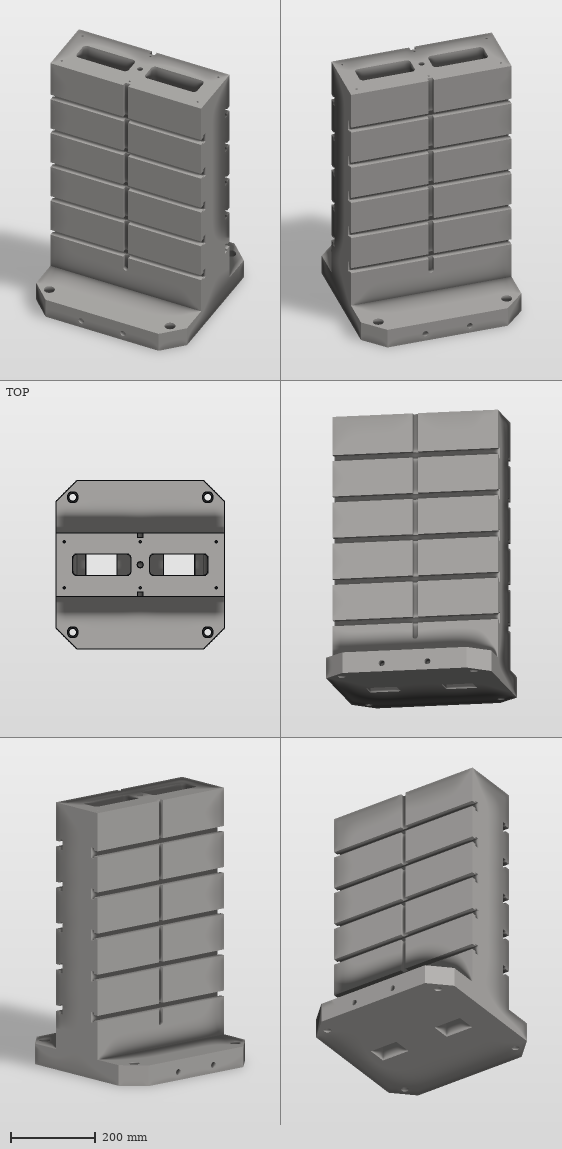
import math

import cadquery as cq

BASE_SIDE = 400.0
BASE_HEIGHT = 50.0
BASE_CHAMFER = 50.0

TOTAL_HEIGHT = 650.0
COLUMN_DEPTH = 150.0
COLUMN_HEIGHT = TOTAL_HEIGHT - BASE_HEIGHT
HALF_DEPTH = COLUMN_DEPTH / 2

T_SLOT_COUNT = 5
T_SLOT_PITCH = 100.0
T_NECK_HEIGHT = 14.0
T_HEAD_HEIGHT = 26.0
T_NECK_DEPTH = 13.0
T_SLOT_DEPTH = 24.0

KEYWAY_WIDTH = 13.0
KEYWAY_DEPTH = 11.0
KEYWAY_BOTTOM = 103.5

CAVITY_WIDTH = 320.0
CAVITY_DEPTH = 50.0
CAVITY_RADIUS = 10.0
ROOF_THICKNESS = 45.0
OPENING_INNER_X = 22.0
OPENING_RADIUS = 10.0
PASSAGE_INNER_X = 55.0
PASSAGE_OUTER_X = 129.0

MOUNT_SPACING = 320.0
MOUNT_DIAMETER = 18.0
MOUNT_BORE_DIAMETER = 26.0
MOUNT_BORE_DEPTH = 18.0

BLIND_DIAMETER = 14.0
BLIND_DEPTH = 26.0
DRILL_POINT_ANGLE = 118
BASE_HOLE_SPACING = 110.5
BASE_HOLE_HEIGHT = 19.5

PIN_DIAMETER = 5.0
PIN_DEPTH = 13.0
PIN_PITCH_X = 180.0
PIN_SPACING_Y = 109.0


def box(x_min, x_max, y_min, y_max, z_min, z_max):
    """Block between opposite corners."""
    size = (x_max - x_min, y_max - y_min, z_max - z_min)
    return cq.Workplane("XY").box(*size, centered=False).translate((x_min, y_min, z_min))


def on_both_sides(cutter):
    """Cutter for the -Y side together with its copy on the +Y side."""
    return cutter.union(cutter.mirror("XZ"))


def make_body():
    base = (
        cq.Workplane("XY")
        .rect(BASE_SIDE, BASE_SIDE)
        .extrude(BASE_HEIGHT)
        .edges("|Z")
        .chamfer(BASE_CHAMFER)
    )
    column = (
        cq.Workplane("XY", origin=(0, 0, BASE_HEIGHT))
        .rect(BASE_SIDE, COLUMN_DEPTH)
        .extrude(COLUMN_HEIGHT)
    )
    return base.union(column)


def t_slot(z):
    """T-slot along X in the -Y face of the column, centred at height z."""
    half_length = BASE_SIDE / 2
    neck_end = -HALF_DEPTH + T_NECK_DEPTH
    head_end = -HALF_DEPTH + T_SLOT_DEPTH
    half_neck = T_NECK_HEIGHT / 2
    half_head = T_HEAD_HEIGHT / 2
    neck = box(-half_length, half_length, -HALF_DEPTH, neck_end, z - half_neck, z + half_neck)
    head = box(-half_length, half_length, neck_end, head_end, z - half_head, z + half_head)
    return neck.union(head)


def keyway():
    """Vertical keyway in the -Y face with a round lower end."""
    radius = KEYWAY_WIDTH / 2
    return (
        cq.Workplane("XZ", origin=(0, -HALF_DEPTH, 0))
        .moveTo(-radius, TOTAL_HEIGHT)
        .lineTo(-radius, KEYWAY_BOTTOM + radius)
        .threePointArc((0, KEYWAY_BOTTOM), (radius, KEYWAY_BOTTOM + radius))
        .lineTo(radius, TOTAL_HEIGHT)
        .close()
        .extrude(-KEYWAY_DEPTH)
    )


def hollow():
    """Rounded cavity with two openings in its roof and two passages through its floor."""
    half_width = CAVITY_WIDTH / 2
    half_depth = CAVITY_DEPTH / 2
    roof_bottom = TOTAL_HEIGHT - ROOF_THICKNESS
    mid_height = (BASE_HEIGHT + roof_bottom) / 2
    cutter = (
        box(-half_width, half_width, -half_depth, half_depth, BASE_HEIGHT, roof_bottom)
        .edges("|Y")
        .fillet(CAVITY_RADIUS)
    )
    opening = (
        box(OPENING_INNER_X, half_width, -half_depth, half_depth, mid_height, TOTAL_HEIGHT)
        .edges("|Z")
        .fillet(OPENING_RADIUS)
    )
    passage = box(PASSAGE_INNER_X, PASSAGE_OUTER_X, -half_depth, half_depth, 0, mid_height)
    for cut in (opening, passage):
        cutter = cutter.union(cut).union(cut.mirror("YZ"))
    return cutter


def blind_hole():
    """Drilled hole going down from the origin, with a conical bottom."""
    radius = BLIND_DIAMETER / 2
    point_length = radius / math.tan(math.radians(DRILL_POINT_ANGLE / 2))
    return (
        cq.Workplane("XZ")
        .polyline([(0, 0), (radius, 0), (radius, -BLIND_DEPTH), (0, -BLIND_DEPTH - point_length)])
        .close()
        .revolve(360, (0, 0, 0), (0, 1, 0))
    )


def base_holes():
    """Two blind holes in the -Y side of the base."""
    drill = blind_hole().rotate((0, 0, 0), (1, 0, 0), 90)
    half_spacing = BASE_HOLE_SPACING / 2
    left = drill.translate((-half_spacing, -BASE_SIDE / 2, BASE_HOLE_HEIGHT))
    right = drill.translate((half_spacing, -BASE_SIDE / 2, BASE_HOLE_HEIGHT))
    return left.union(right)


def cut_mount_holes(part):
    return (
        part.copyWorkplane(cq.Workplane("XY", origin=(0, 0, BASE_HEIGHT)))
        .rect(MOUNT_SPACING, MOUNT_SPACING, forConstruction=True)
        .vertices()
        .cboreHole(MOUNT_DIAMETER, MOUNT_BORE_DIAMETER, MOUNT_BORE_DEPTH, BASE_HEIGHT)
    )


def cut_pin_holes(part):
    return (
        part.copyWorkplane(cq.Workplane("XY", origin=(0, 0, TOTAL_HEIGHT)))
        .rarray(PIN_PITCH_X, PIN_SPACING_Y, 3, 2)
        .hole(PIN_DIAMETER, PIN_DEPTH)
    )


result = make_body()
for index in range(T_SLOT_COUNT):
    slot_height = TOTAL_HEIGHT - (index + 1) * T_SLOT_PITCH
    result = result.cut(on_both_sides(t_slot(slot_height)))
result = result.cut(on_both_sides(keyway()))
result = result.cut(hollow())
result = result.cut(on_both_sides(base_holes()))
result = result.cut(blind_hole().translate((0, 0, TOTAL_HEIGHT)))
result = cut_mount_holes(result)
result = cut_pin_holes(result)